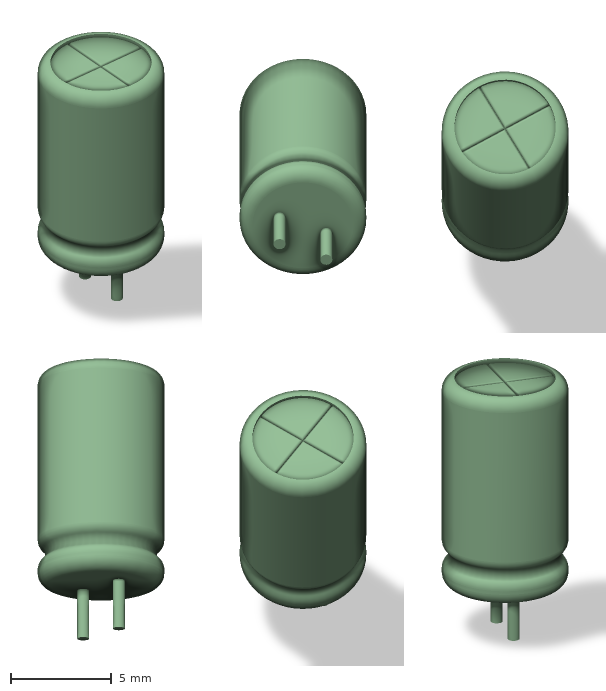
import cadquery as cq
import math

total_height = 13.5
can_diameter = 6.3
can_radius = can_diameter / 2

lead_length = 2.5
lead_diameter = 0.6
lead_spacing = 2.5
lead_embed = 0.27

recess_diameter = 5.04
recess_depth = 0.2
groove_floor_width = 0.03
groove_depth = 0.14

rim_radius = (can_diameter - recess_diameter) / 2

crimp_center_z = 4.09
crimp_half_height = 0.77
crimp_depth = 0.38
waist_half_height = 0.32

radii_sum = (crimp_depth**2 + crimp_half_height**2) / (2 * crimp_depth)
slope_angle = math.asin(crimp_half_height / radii_sum)
waist_radius = waist_half_height / math.sin(slope_angle)
shoulder_radius = radii_sum - waist_radius

waist_r = can_radius - crimp_depth
waist_end_r = waist_r + waist_radius * (1 - math.cos(slope_angle))
shoulder_mid_r = can_radius - shoulder_radius * (1 - math.cos(slope_angle / 2))
shoulder_mid_offset = crimp_half_height - shoulder_radius * math.sin(slope_angle / 2)


def make_can():
    """Revolve the half section of the crimped can about Z."""
    flat_radius = can_radius - rim_radius
    rim_mid_r = flat_radius + rim_radius * math.sin(math.pi / 4)
    rim_mid_inset = rim_radius * (1 - math.sin(math.pi / 4))
    section = (
        cq.Workplane("XZ")
        .moveTo(0, lead_length)
        .lineTo(flat_radius, lead_length)
        .threePointArc((rim_mid_r, lead_length + rim_mid_inset), (can_radius, lead_length + rim_radius))
        .lineTo(can_radius, crimp_center_z - crimp_half_height)
        .threePointArc(
            (shoulder_mid_r, crimp_center_z - shoulder_mid_offset),
            (waist_end_r, crimp_center_z - waist_half_height),
        )
        .threePointArc((waist_r, crimp_center_z), (waist_end_r, crimp_center_z + waist_half_height))
        .threePointArc(
            (shoulder_mid_r, crimp_center_z + shoulder_mid_offset),
            (can_radius, crimp_center_z + crimp_half_height),
        )
        .lineTo(can_radius, total_height - rim_radius)
        .threePointArc((rim_mid_r, total_height - rim_mid_inset), (flat_radius, total_height))
        .lineTo(0, total_height)
        .close()
    )
    return section.revolve(360, (0, 0, 0), (0, 1, 0))


def make_recess():
    """Round recess in the top, with a cross of round-lipped grooves in its floor."""
    floor_z = total_height - recess_depth
    recess = cq.Workplane("XY", origin=(0, 0, floor_z)).circle(recess_diameter / 2).extrude(recess_depth)
    groove_limit = (
        cq.Workplane("XY", origin=(0, 0, floor_z - groove_depth))
        .circle(recess_diameter / 2)
        .extrude(groove_depth)
    )
    floor_half = groove_floor_width / 2
    lip_half = floor_half + groove_depth
    lip_mid_half = lip_half - groove_depth * math.sin(math.pi / 4)
    lip_mid_depth = groove_depth * (1 - math.cos(math.pi / 4))
    for plane in ("XZ", "YZ"):
        groove = (
            cq.Workplane(plane, origin=(0, 0, floor_z))
            .moveTo(-lip_half, 0)
            .threePointArc((-lip_mid_half, -lip_mid_depth), (-floor_half, -groove_depth))
            .lineTo(floor_half, -groove_depth)
            .threePointArc((lip_mid_half, -lip_mid_depth), (lip_half, 0))
            .close()
            .extrude(recess_diameter / 2, both=True)
            .intersect(groove_limit)
        )
        recess = recess.union(groove)
    return recess


def make_leads():
    """Two round leads spaced along X, running a little way into the can."""
    return (
        cq.Workplane("XY")
        .pushPoints([(-lead_spacing / 2, 0), (lead_spacing / 2, 0)])
        .circle(lead_diameter / 2)
        .extrude(lead_length + lead_embed)
    )


result = make_can().cut(make_recess()).union(make_leads())